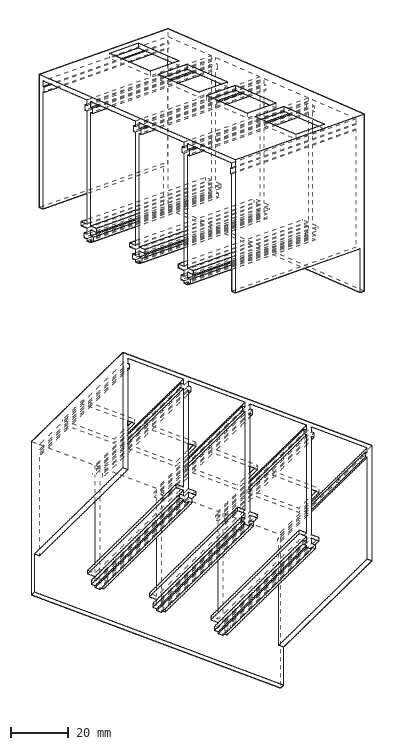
import cadquery as cq

length = 101.2
depth = 60.0
height = 66.5

wall = 2.0
roof = 1.8

bay_count = 4
pitch = 25.0

side_wall_bottom = 50.0
partition_bottom = 54.7

guide_gap = 20.9
guide_top = 3.9
guide_height = 2.0

wide_flange_width = 8.0
wide_flange_top = 48.5
wide_flange_height = side_wall_bottom - wide_flange_top
foot_flange_width = 5.1
foot_flange_top = 52.2
foot_flange_height = 1.7

window_depth = 13.4
window_back_offset = 16.2

partition_positions = [(i - bay_count / 2) * pitch for i in range(1, bay_count)]
bay_centres = [(i - (bay_count - 1) / 2) * pitch for i in range(bay_count)]


def bar(x_min, x_max, top, bar_height):
    """Bar running the full depth in Y, hanging down from the level `top`."""
    return (
        cq.Workplane("XY")
        .box(x_max - x_min, depth, bar_height, centered=False)
        .translate((x_min, 0, -top - bar_height))
    )


def centred_bar(x, width, top, bar_height):
    return bar(x - width / 2, x + width / 2, top, bar_height)


def partition(x):
    """Partition with its guide rail and the two flanges at its foot."""
    return (
        centred_bar(x, wall, 0, partition_bottom)
        .union(centred_bar(x, pitch - guide_gap, guide_top, guide_height))
        .union(centred_bar(x, wide_flange_width, wide_flange_top, wide_flange_height))
        .union(centred_bar(x, foot_flange_width, foot_flange_top, foot_flange_height))
    )


def left_side_wall():
    """Outer wall at -X with the guide rail on its inner face."""
    outer_face = -length / 2
    guide_face = bay_centres[0] - guide_gap / 2
    return bar(outer_face, outer_face + wall, 0, side_wall_bottom).union(
        bar(outer_face, guide_face, guide_top, guide_height)
    )


def back_plate():
    return (
        cq.Workplane("XY")
        .box(length, wall, height, centered=False)
        .translate((-length / 2, depth - wall, -height))
    )


def window(x):
    """Cutter for the rectangular opening through the roof over one bay."""
    return (
        cq.Workplane("XY")
        .box(guide_gap, window_depth, roof, centered=False)
        .translate((x - guide_gap / 2, depth - window_back_offset - window_depth, -roof))
    )


side_wall = left_side_wall()
result = centred_bar(0, length, 0, roof).union(back_plate())
result = result.union(side_wall).union(side_wall.mirror("YZ"))
for position in partition_positions:
    result = result.union(partition(position))
for centre in bay_centres:
    result = result.cut(window(centre))